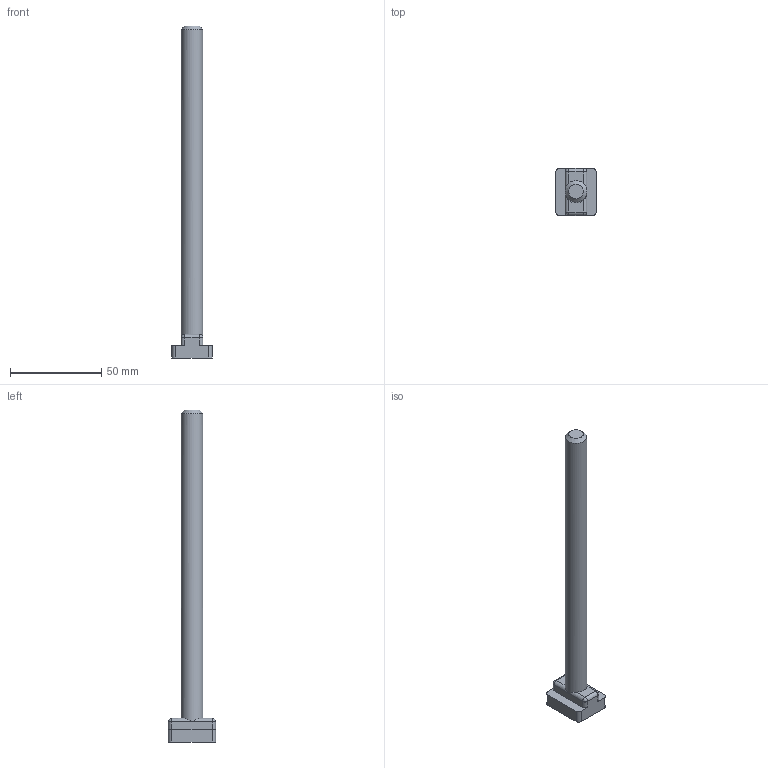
import cadquery as cq
head_width = 22.0
head_length = 26.0
head_thickness = 7.0
neck_width = 12.0
neck_top = 13.0
edge_radius = 2.0
bolt_length = 182.0
rod_diameter = 12.0
tip_chamfer = 2.0


def make_block(width, length, height):
    """Block centred on the Z axis and standing on Z = 0."""
    return cq.Workplane("XY").box(width, length, height, centered=(True, True, False))


def make_head():
    """Flat rectangular head with rounded upright corners."""
    return make_block(head_width, head_length, head_thickness).edges("|Z").fillet(edge_radius)


def make_neck():
    """Slot guide along the head, rounded on its upright and top edges."""
    return make_block(neck_width, head_length, neck_top).edges("|Z or >Z").fillet(edge_radius)


def make_rod():
    """Round rod rising from the underside of the head to a chamfered tip."""
    rod = cq.Workplane("XY").circle(rod_diameter / 2).extrude(bolt_length)
    return rod.faces(">Z").chamfer(tip_chamfer)


bolt = make_head().union(make_neck()).union(make_rod())
result = cq.Workplane(bolt.solids().val())